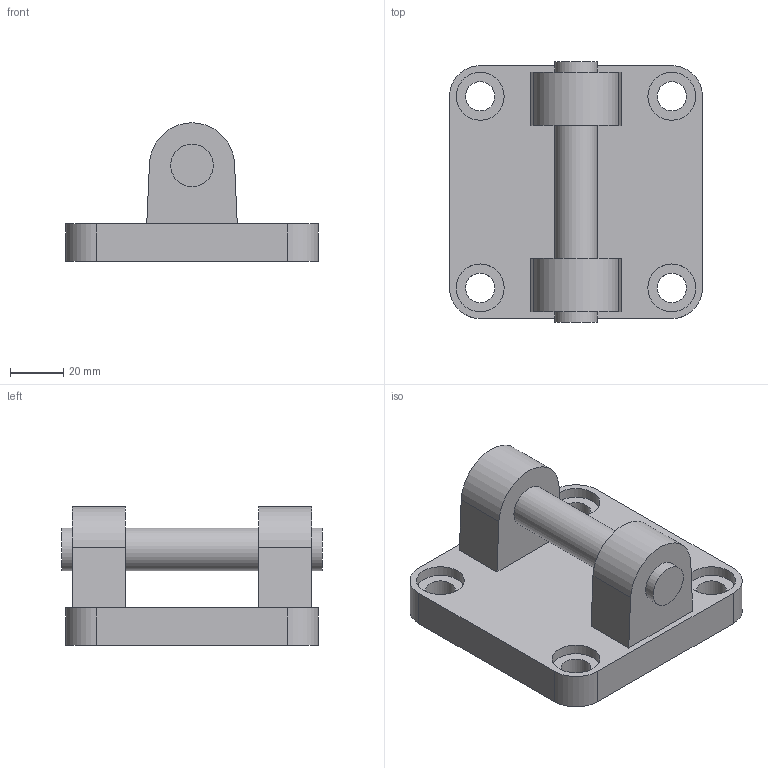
import cadquery as cq
import math

plate_side = 95.0
plate_thickness = 14.0
mount_spacing = 72.0
corner_radius = (plate_side - mount_spacing) / 2

hole_diameter = 11.0
counterbore_diameter = 18.0
counterbore_depth = 4.0

pin_diameter = 16.0
pin_length = 98.0
pin_height = 36.0
lug_top_radius = 16.0
lug_base_width = 34.0
lug_length = 20.0
lug_gap = 50.0


def make_plate():
    """Rounded square plate with a counterbored hole at each corner."""
    return (
        cq.Workplane("XY")
        .rect(plate_side, plate_side)
        .extrude(plate_thickness)
        .edges("|Z")
        .fillet(corner_radius)
        .faces(">Z")
        .workplane()
        .rect(mount_spacing, mount_spacing, forConstruction=True)
        .vertices()
        .cboreHole(hole_diameter, counterbore_diameter, counterbore_depth)
    )


def make_lug(center_y):
    """Lug with tapered flanks that run tangent into its round top."""
    half_base = lug_base_width / 2
    pin_rise = pin_height - plate_thickness
    angle_to_base_corner = math.atan2(pin_rise, half_base)
    distance_to_base_corner = math.hypot(half_base, pin_rise)
    tangent_angle = math.acos(lug_top_radius / distance_to_base_corner) - angle_to_base_corner
    tangent_x = lug_top_radius * math.cos(tangent_angle)
    tangent_z = pin_height + lug_top_radius * math.sin(tangent_angle)
    return (
        cq.Workplane("XZ", origin=(0, center_y, 0))
        .moveTo(-half_base, plate_thickness)
        .lineTo(half_base, plate_thickness)
        .lineTo(tangent_x, tangent_z)
        .threePointArc((0, pin_height + lug_top_radius), (-tangent_x, tangent_z))
        .close()
        .extrude(lug_length / 2, both=True)
    )


def make_pin():
    """Round pin along Y, through both lugs."""
    return (
        cq.Workplane("XZ")
        .center(0, pin_height)
        .circle(pin_diameter / 2)
        .extrude(pin_length / 2, both=True)
    )


lug_center_y = (lug_gap + lug_length) / 2

result = make_plate()
for side in (-1, 1):
    result = result.union(make_lug(side * lug_center_y))
result = result.union(make_pin())